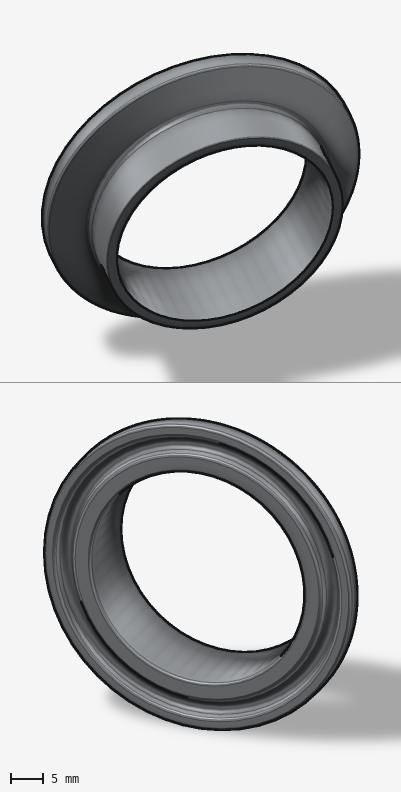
import cadquery as cq
import math


length = 12.7
flange_radius = 50.4 / 2
tube_radius = 38.1 / 2
bore_radius = 34.8 / 2

rim_width = 2.85
back_slope = 20
edge_radius = 0.4
neck_radius = 1.0

end_edge_radius = 0.15

groove_center_radius = 21.8
groove_floor_radius = 1.15
groove_lip_radius = 0.55
groove_depth = 1.55
wall_slope = 62


def revolve_about_x(profile):
    """Full turn of a profile drawn with X along the axis and Y as radius."""
    return profile.close().revolve(360, (0, 0, 0), (1, 0, 0))


def edges_at(body, x, radius):
    """Circular edges of the body at one axial place and radius."""
    reach = 0.025
    box = cq.selectors.BoxSelector(
        (x - reach, -radius - reach, -radius - reach),
        (x + reach, radius + reach, radius + reach),
        boundingbox=True,
    )
    ring = body.edges(box).edges("%CIRCLE")
    return ring.filter(lambda edge: abs(edge.radius() - radius) < reach)


def make_body():
    """Flange, sloping back and tube around an open bore."""
    back_end = rim_width + (flange_radius - tube_radius) * math.tan(math.radians(back_slope))
    body = revolve_about_x(
        cq.Workplane("XY")
        .moveTo(0, bore_radius)
        .lineTo(0, flange_radius)
        .lineTo(rim_width, flange_radius)
        .lineTo(back_end, tube_radius)
        .lineTo(length, tube_radius)
        .lineTo(length, bore_radius)
    )
    body = edges_at(body, back_end, tube_radius).fillet(neck_radius)
    for x, radius in [(0, bore_radius), (0, flange_radius), (rim_width, flange_radius)]:
        body = edges_at(body, x, radius).fillet(edge_radius)
    return edges_at(body, length, tube_radius).fillet(end_edge_radius)


def make_groove():
    """Ring to cut: round floor, straight sloping walls and rounded lips."""
    slope = math.radians(wall_slope)
    half_slope = slope / 2

    floor_half = groove_floor_radius * math.sin(slope)
    floor_x = groove_depth - groove_floor_radius * (1 - math.cos(slope))
    lip_x = groove_lip_radius * (1 - math.cos(slope))
    wall_half = floor_half + (floor_x - lip_x) / math.tan(slope)
    mouth_half = wall_half + groove_lip_radius * math.sin(slope)

    lip_mid_x = groove_lip_radius * (1 - math.cos(half_slope))
    lip_mid_half = mouth_half - groove_lip_radius * math.sin(half_slope)

    center = groove_center_radius
    return revolve_about_x(
        cq.Workplane("XY")
        .moveTo(0, center - mouth_half)
        .threePointArc((lip_mid_x, center - lip_mid_half), (lip_x, center - wall_half))
        .lineTo(floor_x, center - floor_half)
        .threePointArc((groove_depth, center), (floor_x, center + floor_half))
        .lineTo(lip_x, center + wall_half)
        .threePointArc((lip_mid_x, center + lip_mid_half), (0, center + mouth_half))
    )


result = make_body().cut(make_groove())